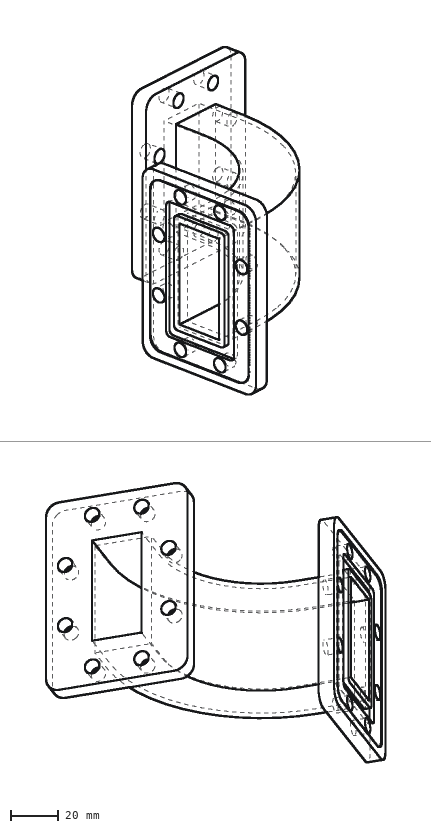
import cadquery as cq

BORE_WIDTH = 22.15
BORE_HEIGHT = 47.55
TUBE_WIDTH = 25.4
TUBE_HEIGHT = 50.8

FLANGE_WIDTH = 63.5
FLANGE_HEIGHT = 88.9
FLANGE_CORNER_RADIUS = 6.0
PLAIN_FLANGE_THICKNESS = 8.0
GROOVED_FLANGE_THICKNESS = 7.0

HOLE_DIAMETER = 6.5
END_HOLE_SPACING_ACROSS = 22.15
END_HOLE_SPACING_ALONG = 71.8
SIDE_HOLE_SPACING_ACROSS = 46.4
SIDE_HOLE_SPACING_ALONG = 28.5

LEG_LENGTH = 80.0
STRAIGHT_END = 23.8
BEND_ANGLE = 90
BEND_RADIUS = LEG_LENGTH - STRAIGHT_END

RECESS_MARGIN = 4.1
RECESS_DEPTH = 0.5
RECESS_CORNER_RADIUS = 6
GROOVE_WIDTH = 38.1
GROOVE_HEIGHT = 63.5
GROOVE_DEPTH = 2.54
GROOVE_CORNER_RADIUS = 2.4
LIP_WALL = 3.175
LIP_CORNER_RADIUS = 2.2

PLAIN_FACE = cq.Plane(origin=(0, LEG_LENGTH, 0), xDir=(0, 1, 0), normal=(1, 0, 0))
GROOVED_FACE = cq.Plane(origin=(LEG_LENGTH, 0, 0), xDir=(-1, 0, 0), normal=(0, 1, 0))


def rounded_block(face, width, height, depth, radius):
    """Block with rounded long edges, reaching from a flange face into the part."""
    block = cq.Workplane(face).rect(width, height).extrude(depth)
    along_normal = "|X" if face is PLAIN_FACE else "|Y"
    return block.edges(along_normal).fillet(radius)


def swept_section(width, height):
    """Rectangle carried along the first straight, the bend and the second straight."""
    entry = cq.Workplane(PLAIN_FACE).rect(width, height).extrude(STRAIGHT_END)
    leave = cq.Workplane(GROOVED_FACE).rect(width, height).extrude(STRAIGHT_END)
    bend = (
        cq.Workplane(GROOVED_FACE)
        .workplane(offset=STRAIGHT_END)
        .rect(width, height)
        .revolve(BEND_ANGLE, (BEND_RADIUS, 0), (BEND_RADIUS, 1))
    )
    return entry.union(bend).union(leave)


def flange(face, thickness):
    """Rounded flange plate without its bore and bolt holes."""
    return rounded_block(face, FLANGE_WIDTH, FLANGE_HEIGHT, thickness, FLANGE_CORNER_RADIUS)


def bolt_holes(face, thickness):
    """Eight cylinders that drill the bolt pattern through one flange."""
    end_pairs = (END_HOLE_SPACING_ACROSS, END_HOLE_SPACING_ALONG)
    side_pairs = (SIDE_HOLE_SPACING_ACROSS, SIDE_HOLE_SPACING_ALONG)
    centres = [
        (across_sign * across / 2, along_sign * along / 2)
        for across, along in (end_pairs, side_pairs)
        for across_sign in (-1, 1)
        for along_sign in (-1, 1)
    ]
    return cq.Workplane(face).pushPoints(centres).circle(HOLE_DIAMETER / 2).extrude(thickness)


def sealing_face_cut():
    """Shallow face recess and gasket groove, leaving a lip around the bore."""
    recess = rounded_block(
        GROOVED_FACE,
        FLANGE_WIDTH - 2 * RECESS_MARGIN,
        FLANGE_HEIGHT - 2 * RECESS_MARGIN,
        RECESS_DEPTH,
        RECESS_CORNER_RADIUS,
    )
    groove = rounded_block(GROOVED_FACE, GROOVE_WIDTH, GROOVE_HEIGHT, GROOVE_DEPTH, GROOVE_CORNER_RADIUS)
    lip = rounded_block(
        GROOVED_FACE,
        BORE_WIDTH + 2 * LIP_WALL,
        BORE_HEIGHT + 2 * LIP_WALL,
        GROOVE_DEPTH,
        LIP_CORNER_RADIUS,
    )
    return recess.union(groove).cut(lip)


body = swept_section(TUBE_WIDTH, TUBE_HEIGHT)
flanges = ((PLAIN_FACE, PLAIN_FLANGE_THICKNESS), (GROOVED_FACE, GROOVED_FLANGE_THICKNESS))
for flange_face, flange_thickness in flanges:
    body = body.union(flange(flange_face, flange_thickness))
    body = body.cut(bolt_holes(flange_face, flange_thickness))
body = body.cut(sealing_face_cut())
result = body.cut(swept_section(BORE_WIDTH, BORE_HEIGHT))